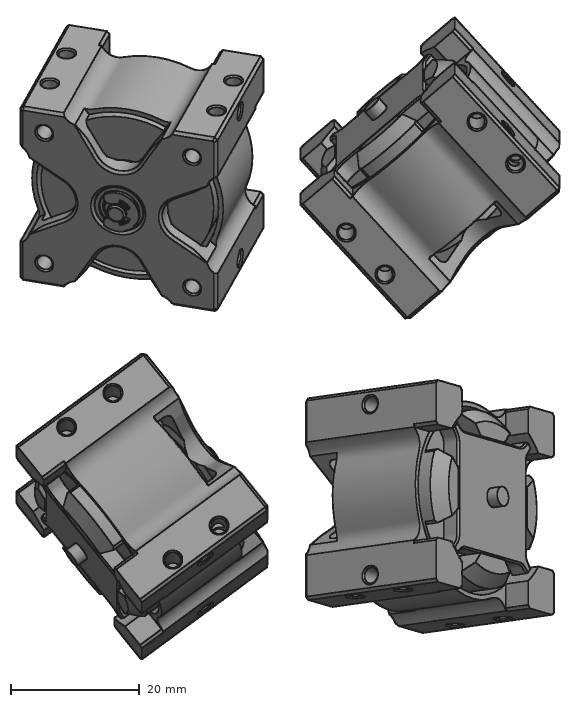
import cadquery as cq
import math

width = 32.0
half = width / 2
length = 25.02
edge_chamfer = 0.48
barrel_d = 31.05
bore_d = 29.5
post_inner = 8.95
flute_r = 2.72
flute_angle = 20.7

plate_t = 2.5
cavity_fillet = 1.28
hub_base_d = 16.58
hub_step_d = 14.35
hub_step_y = 3.23
hub_tip_d = 12.35
window_depth = 5.05
window_floor = 7.0
window_r = 4.0
window_slope = 30.0
flare_x = 5.25
rim_x = 7.05
rim_z = 14.43
window_chamfer = 0.45
bearing_d = 8.0
bearing_chamfer = 0.45

barrel_end = 20.77

screw_d = 2.5
screw_mouth_d = 3.0
front_hole_pos = 12.0
front_hole_depth = 9.0
side_hole_pos = 13.55
side_hole_depth = 6.0
top_hole_rows = (8.0, 17.05)
side_hole_y = 12.55

rotor_d = 28.0
rotor_front = 4.95
rotor_rear = 24.58
shaft_d = 3.07
shaft_front = -1.3
shaft_rear = 26.5
tip_chamfer = 0.3
clip_groove_d = 2.5
journal_front = 0.4
journal_chamfer = 0.1
race_inner_d = 4.67
race_outer_d = 6.35
race_mouth_d = 6.5
shield_d = 5.35
shield_depth = 0.2
race_depth = 0.48

plate_front = 21.8
plate_half = 9.28
plate_bevel = 0.3
plate_arc_x = 7.3
plate_arc_r = 1.92
plate_arc_angle = 40.0
lug_top_x = 5.5
lug_x = 5.85
lug_z = 12.4
lug_slope = 40.0
cone_y = 22.53

clip_d = 7.05
clip_front = -0.6
clip_t = 0.6
clip_flat_x = -2.18
mouth_half = 1.35
mouth_r = 0.77
relief_d = 4.67
relief_angles = (24, 80)
relief_r = 0.25

far = width


def plane_at(y):
    """Sketch plane facing the front, with X across and Z up."""
    return cq.Workplane("XZ", origin=(0, y, 0))


def prism(sketch, depth):
    """Extrude a front-facing sketch toward the rear."""
    return sketch.extrude(-depth)


def cylinder(d, y0, y1):
    return prism(plane_at(y0).circle(d / 2), y1 - y0)


def revolved(points):
    """Turn a closed (radius, y) outline about the Y axis."""
    return cq.Workplane("XY").polyline(points).close().revolve(360, (0, 0, 0), (0, 1, 0))


def on_four_sides(body, tool):
    """Cut one tool from all four sides of the square body."""
    for quarter in range(4):
        body = body.cut(tool.rotate((0, 0, 0), (0, 1, 0), 90 * quarter))
    return body


def channel():
    """Space above one side of the barrel: flute, barrel arc, flute."""
    a = math.radians(flute_angle)
    barrel_r = barrel_d / 2
    blend = (barrel_r * math.sin(a), barrel_r * math.cos(a))
    centre = ((barrel_r + flute_r) * math.sin(a), (barrel_r + flute_r) * math.cos(a))
    low = (centre[0], centre[1] - flute_r)
    sketch = (
        plane_at(0)
        .moveTo(-post_inner, half)
        .threePointArc((-low[0], low[1]), (-blend[0], blend[1]))
        .threePointArc((0, barrel_r), blend)
        .threePointArc(low, (post_inner, half))
        .lineTo(post_inner, far)
        .lineTo(-post_inner, far)
        .close()
    )
    return prism(sketch, length)


def window_points(grow):
    """Floor and straight-side end points of a window outline widened by `grow`."""
    a = math.radians(window_slope)
    centre_z = window_floor + window_r
    r = window_r + grow
    tangent = (r * math.cos(a), centre_z - r * math.sin(a))
    return (0, centre_z - r), tangent


def window():
    """One spoke window with a chamfered front edge."""
    slope = math.tan(math.radians(window_slope))

    floor, tangent = window_points(0)
    flare = (flare_x, tangent[1] + (flare_x - tangent[0]) / slope)
    outer_x = flare_x + (rim_x - flare_x) * (far - flare[1]) / (rim_z - flare[1])
    walls = (
        plane_at(0)
        .moveTo(-outer_x, far)
        .lineTo(-flare[0], flare[1])
        .lineTo(-tangent[0], tangent[1])
        .threePointArc(floor, tangent)
        .lineTo(*flare)
        .lineTo(outer_x, far)
        .close()
    )
    floor, tangent = window_points(window_chamfer)
    outer_x = tangent[0] + (far - tangent[1]) * slope
    mouth = (
        plane_at(0)
        .moveTo(-outer_x, far)
        .lineTo(-tangent[0], tangent[1])
        .threePointArc(floor, tangent)
        .lineTo(outer_x, far)
        .close()
    )
    return prism(walls, window_depth).union(mouth.extrude(-window_chamfer, taper=45))


def cavity():
    """Rotor bore with a rounded front corner, leaving the conical hub standing."""
    r = bore_d / 2
    corner = cavity_fillet * (1 - math.sqrt(0.5))
    return (
        cq.Workplane("XY")
        .moveTo(hub_base_d / 2, plate_t)
        .lineTo(r - cavity_fillet, plate_t)
        .threePointArc((r - corner, plate_t + corner), (r, plate_t + cavity_fillet))
        .lineTo(r, length)
        .lineTo(0, length)
        .lineTo(0, rotor_front)
        .lineTo(hub_tip_d / 2, rotor_front)
        .lineTo(hub_step_d / 2, hub_step_y)
        .close()
        .revolve(360, (0, 0, 0), (0, 1, 0))
    )


def cut_rear(body):
    """Clear the space between the posts and bevel the posts' inner edges."""
    clearance = prism(plane_at(barrel_end).rect(2 * post_inner, 2 * far), length - barrel_end)
    body = body.cut(clearance).cut(clearance.rotate((0, 0, 0), (0, 1, 0), 90))
    post_bevel = prism(
        plane_at(barrel_end).moveTo(post_inner, half - edge_chamfer)
        .lineTo(post_inner + edge_chamfer, half).lineTo(post_inner, half).close(),
        length - barrel_end,
    )
    body = on_four_sides(body, post_bevel)
    return on_four_sides(body, post_bevel.mirror("YZ"))


def screw_hole(depth):
    """Hole along +Y from the origin with a countersunk mouth."""
    sink = (screw_mouth_d - screw_d) / 2
    return revolved([
        (0, 0), (screw_mouth_d / 2, 0), (screw_d / 2, sink), (screw_d / 2, depth), (0, depth),
    ])


def drill(body):
    side_tool = screw_hole(side_hole_depth)
    top_tool = side_tool.rotate((0, 0, 0), (1, 0, 0), -90).translate((0, 0, half))
    left_tool = side_tool.rotate((0, 0, 0), (0, 0, 1), -90).translate((-half, 0, 0))
    for sx in (-1, 1):
        for sz in (-1, 1):
            front = screw_hole(front_hole_depth)
            body = body.cut(front.translate((sx * front_hole_pos, 0, sz * front_hole_pos)))
        for y in top_hole_rows:
            tool = top_tool.translate((sx * side_hole_pos, y, 0))
            body = body.cut(tool).cut(tool.mirror("XY"))
        tool = left_tool.translate((0, side_hole_y, sx * side_hole_pos))
        body = body.cut(tool).cut(tool.mirror("YZ"))
    return body


def make_housing():
    body = cq.Workplane("XY").box(width, length, width).translate((0, length / 2, 0))
    body = body.edges("|Y").chamfer(edge_chamfer)
    body = body.faces("<Y").edges().chamfer(edge_chamfer)
    body = on_four_sides(body, channel())
    body = body.cut(cavity())
    body = on_four_sides(body, window())
    body = cut_rear(body)
    body = drill(body)
    bearing_bore = revolved([
        (0, 0), (bearing_d / 2 + bearing_chamfer, 0), (bearing_d / 2, bearing_chamfer),
        (bearing_d / 2, window_depth), (0, window_depth),
    ])
    return body.cut(bearing_bore)


def plate_gap(y, grow):
    """Sketch of the open space above one flat of the rear plate, widened by `grow`."""
    a = math.radians(plate_arc_angle)
    r = plate_arc_r + grow
    z = plate_half - grow
    mid = (plate_arc_x + r * math.sin(a / 2), z + r * (1 - math.cos(a / 2)))
    end = (plate_arc_x + r * math.sin(a), z + r * (1 - math.cos(a)))
    tip_x = half + grow
    tip_z = end[1] + (tip_x - end[0]) * math.tan(a)
    return (
        plane_at(y)
        .moveTo(-plate_arc_x, z)
        .lineTo(plate_arc_x, z)
        .threePointArc(mid, end)
        .lineTo(tip_x, tip_z)
        .lineTo(tip_x, far)
        .lineTo(-tip_x, far)
        .lineTo(-tip_x, tip_z)
        .lineTo(-end[0], end[1])
        .threePointArc((-mid[0], mid[1]), (-plate_arc_x, z))
        .close()
    )


def rear_plate():
    body = cylinder(rotor_d, plate_front, rotor_rear)
    body = on_four_sides(body, prism(plate_gap(plate_front, 0), rotor_rear - plate_front))
    return on_four_sides(body, plate_gap(rotor_rear, plate_bevel).extrude(plate_bevel, taper=45))


def lug():
    """Wedge-shaped lug joining drum and rear plate, turned conical at the rear."""
    r = rotor_d / 2
    top_z = math.sqrt(r**2 - lug_top_x**2)
    foot_x = lug_x - (lug_z - plate_half) * math.tan(math.radians(lug_slope))
    outline = (
        plane_at(barrel_end)
        .moveTo(-foot_x, plate_half)
        .lineTo(-lug_x, lug_z)
        .lineTo(-lug_top_x, top_z)
        .threePointArc((0, r), (lug_top_x, top_z))
        .lineTo(lug_x, lug_z)
        .lineTo(foot_x, plate_half)
        .close()
    )
    end_r = r - (rotor_rear - cone_y)
    turned = revolved([
        (0, barrel_end), (r, barrel_end), (r, cone_y), (end_r, rotor_rear), (0, rotor_rear),
    ])
    return prism(outline, rotor_rear - barrel_end).intersect(turned)


def make_rotor():
    """Drum, journal, shaft, lugs and rear plate in one piece."""
    r = shaft_d / 2
    body = revolved([
        (0, shaft_front), (r - tip_chamfer, shaft_front), (r, shaft_front + tip_chamfer),
        (r, journal_front), (bearing_d / 2 - journal_chamfer, journal_front),
        (bearing_d / 2, journal_front + journal_chamfer), (bearing_d / 2, rotor_front),
        (rotor_d / 2, rotor_front), (rotor_d / 2, barrel_end), (r, barrel_end), (r, shaft_rear),
        (0, shaft_rear),
    ])
    shield_y = journal_front + shield_depth
    race_y = journal_front + race_depth
    race = revolved([
        (race_inner_d / 2, journal_front), (race_mouth_d / 2, journal_front),
        (race_outer_d / 2, journal_front + (race_mouth_d - race_outer_d) / 2),
        (race_outer_d / 2, shield_y), (shield_d / 2, shield_y), (shield_d / 2, race_y),
        (race_inner_d / 2, race_y),
    ])
    groove = cylinder(far, clip_front, clip_front + clip_t).cut(
        cylinder(clip_groove_d, clip_front, clip_front + clip_t)
    )
    body = body.cut(race).cut(groove).union(rear_plate())
    for quarter in range(4):
        body = body.union(lug().rotate((0, 0, 0), (0, 1, 0), 90 * quarter))
    return body


def make_clip():
    """E-shaped clip seated in the shaft groove."""
    end_y = clip_front + clip_t
    body = cylinder(clip_d, clip_front, end_y)
    ends = prism(plane_at(clip_front).center(clip_flat_x - far / 2, 0).rect(far, far), clip_t)
    mouth = prism(plane_at(clip_front).center(-far / 2, 0).rect(far, 2 * mouth_half), clip_t)
    body = body.cut(ends).cut(mouth)
    body = body.edges(cq.selectors.BoxSelector(
        (clip_flat_x - 0.03, clip_front - 0.32, -mouth_half - 0.03),
        (clip_flat_x + 0.03, end_y + 0.32, mouth_half + 0.03),
    )).edges("|Y").fillet(mouth_r)
    body = body.cut(cylinder(clip_groove_d, clip_front, end_y))
    a0, a1 = (math.radians(a) for a in relief_angles)
    am = (a0 + a1) / 2
    ro, ri = relief_d / 2, clip_groove_d / 2

    def at(r, a):
        return (r * math.cos(a), r * math.sin(a))

    relief = prism(
        plane_at(clip_front).moveTo(*at(ri, a0)).lineTo(*at(ro, a0))
        .threePointArc(at(ro, am), at(ro, a1)).lineTo(*at(ri, a1)).close(),
        clip_t,
    )
    relief = relief.edges("|Y").edges(">X or >Z").fillet(relief_r)
    return body.cut(relief).cut(relief.mirror("XY"))


housing = make_housing()
rotor = make_rotor()
clip = make_clip()
result = cq.Compound.makeCompound([housing.val(), rotor.val(), clip.val()])